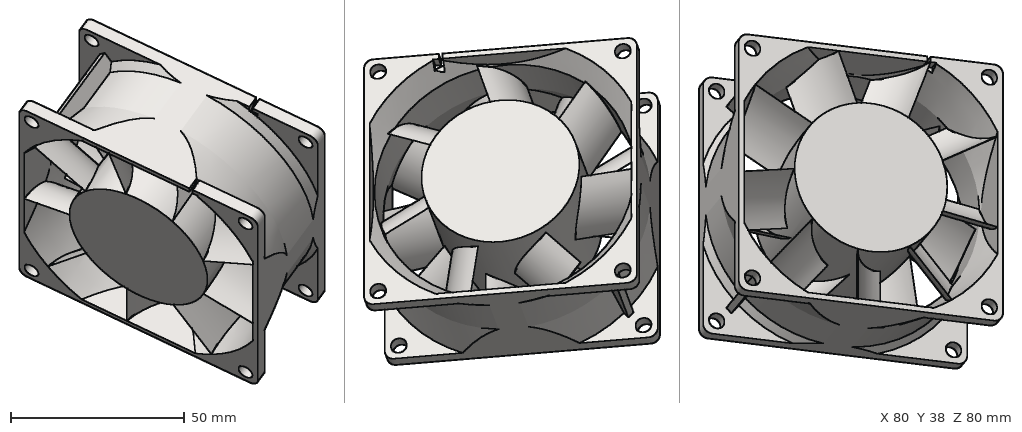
import cadquery as cq
import math

frame_side = 80.0
frame_depth = 38.0
corner_radius = 2.8
flange_thickness = 4.0
half_side = frame_side / 2
back_flange_y = frame_depth - flange_thickness

throat_front_y = 16.5
throat_back_y = 31.4
shell_radius = 40.2
shell_front_radius = 43.5
shell_back_radius = 42.0

throat_radius = 38.1
mouth_radius = 42.8
mouth_width = 76.6

hole_spacing = 71.7
hole_diameter = 4.6

rib_root_radius = 39.2
rib_root_width = 0.9
rib_tip_radius = 45.5
rib_tip_width = 2.2
rib_angles = (135, 225)

slot_left_x = 17.0
slot_width = 1.0
hook_width = 2.7
hook_top_z = mouth_width / 2
hook_bottom_z = 36.0

hub_radius = 23.1
blade_root_x = 14.4
blade_thickness = 0.6

vane_count = 9
vane_first_angle = -90.0
vane_front = (-3.8, 0.0)
vane_back = (8.1, 16.8)
vane_bulge = 2.0
vane_embedding = 0.4

rotor_count = 7
rotor_first_angle = 21.0
rotor_front = (15.4, 18.4)
rotor_back = (4.0, 34.4)
rotor_bulge = 1.6
rotor_radius = 37.8


def disc(radius, y_start, y_end):
    """Cylinder around the Y axis."""
    return cq.Workplane("XZ", origin=(0, y_start, 0)).circle(radius).extrude(y_start - y_end)


def block(width, y_start, y_end):
    """Square block centred on the Y axis."""
    return cq.Workplane("XZ", origin=(0, y_start, 0)).rect(width, width).extrude(y_start - y_end)


def revolved(profile):
    """Solid of revolution around the Y axis; the profile lists (radius, y) points."""
    return cq.Workplane("XY").polyline(profile).close().revolve(360, (0, 0, 0), (0, 1, 0))


def turned(shape, angle):
    """Turn about the Y axis; positive angles carry +X towards +Z."""
    return shape.rotate((0, 0, 0), (0, 1, 0), -angle)


def make_flange(y_start):
    plate = block(frame_side, y_start, y_start + flange_thickness)
    return plate.edges("|Y").fillet(corner_radius)


def make_shell():
    flared = revolved([
        (0, flange_thickness),
        (shell_front_radius, flange_thickness),
        (shell_radius, throat_front_y),
        (shell_radius, throat_back_y),
        (shell_back_radius, back_flange_y),
        (0, back_flange_y),
    ])
    return flared.intersect(block(frame_side, 0, frame_depth))


def make_passage(margin):
    """Air space inside the shell, grown sideways by the margin."""
    flared = revolved([
        (0, 0),
        (mouth_radius + margin, 0),
        (throat_radius + margin, throat_front_y),
        (throat_radius + margin, throat_back_y),
        (mouth_radius + margin, frame_depth),
        (0, frame_depth),
    ])
    return flared.intersect(block(mouth_width + 2 * margin, 0, frame_depth))


def make_rib(angle):
    rib = (
        cq.Workplane("XZ", origin=(0, flange_thickness, 0))
        .moveTo(rib_root_radius, -rib_root_width / 2)
        .lineTo(rib_tip_radius, -rib_tip_width / 2)
        .lineTo(rib_tip_radius, rib_tip_width / 2)
        .lineTo(rib_root_radius, rib_root_width / 2)
        .close()
        .extrude(flange_thickness - back_flange_y)
    )
    return turned(rib, angle)


def make_blade(front, back, bulge):
    """Crescent blade along +X, sharp at its (z, y) ends and bowed towards the back."""
    chord_z = back[0] - front[0]
    chord_y = back[1] - front[1]
    chord = math.hypot(chord_z, chord_y)
    middle_z = (front[0] + back[0]) / 2
    middle_y = (front[1] + back[1]) / 2

    def bowed(distance):
        return (
            middle_y + abs(chord_z) / chord * distance,
            middle_z - math.copysign(chord_y, chord_z) / chord * distance,
        )

    front_edge = (front[1], front[0])
    back_edge = (back[1], back[0])
    return (
        cq.Workplane("YZ", origin=(blade_root_x, 0, 0))
        .moveTo(*front_edge)
        .threePointArc(bowed(bulge), back_edge)
        .threePointArc(bowed(bulge + blade_thickness), front_edge)
        .close()
        .extrude(half_side)
    )


def make_cable_slot(y_start):
    """Slot from the top edge, with a hook to its right that opens into the air passage."""
    return (
        cq.Workplane("XZ", origin=(0, y_start, 0))
        .moveTo(slot_left_x, hook_bottom_z)
        .lineTo(slot_left_x, half_side)
        .lineTo(slot_left_x + slot_width, half_side)
        .lineTo(slot_left_x + slot_width, hook_top_z)
        .lineTo(slot_left_x + hook_width, hook_top_z)
        .lineTo(slot_left_x + hook_width, hook_bottom_z)
        .close()
        .extrude(-flange_thickness)
    )


def make_mounting_holes():
    return (
        cq.Workplane("XZ")
        .rect(hole_spacing, hole_spacing, forConstruction=True)
        .vertices()
        .circle(hole_diameter / 2)
        .extrude(-frame_depth)
    )


result = make_shell()
for flange_y in (0, back_flange_y):
    result = result.union(make_flange(flange_y))
for rib_angle in rib_angles:
    result = result.union(make_rib(rib_angle))
result = result.cut(make_passage(0)).cut(make_mounting_holes())
for flange_y in (0, back_flange_y):
    result = result.cut(make_cable_slot(flange_y))

result = result.union(disc(hub_radius, 0, frame_depth))

vane = make_blade(vane_front, vane_back, vane_bulge)
vane_limit = make_passage(vane_embedding)
for index in range(vane_count):
    vane_angle = vane_first_angle + index * 360 / vane_count
    result = result.union(turned(vane, vane_angle).intersect(vane_limit))

rotor_blade = make_blade(rotor_front, rotor_back, rotor_bulge)
rotor_blade = rotor_blade.intersect(disc(rotor_radius, 0, frame_depth))
for index in range(rotor_count):
    blade_angle = rotor_first_angle + index * 360 / rotor_count
    result = result.union(turned(rotor_blade, blade_angle))